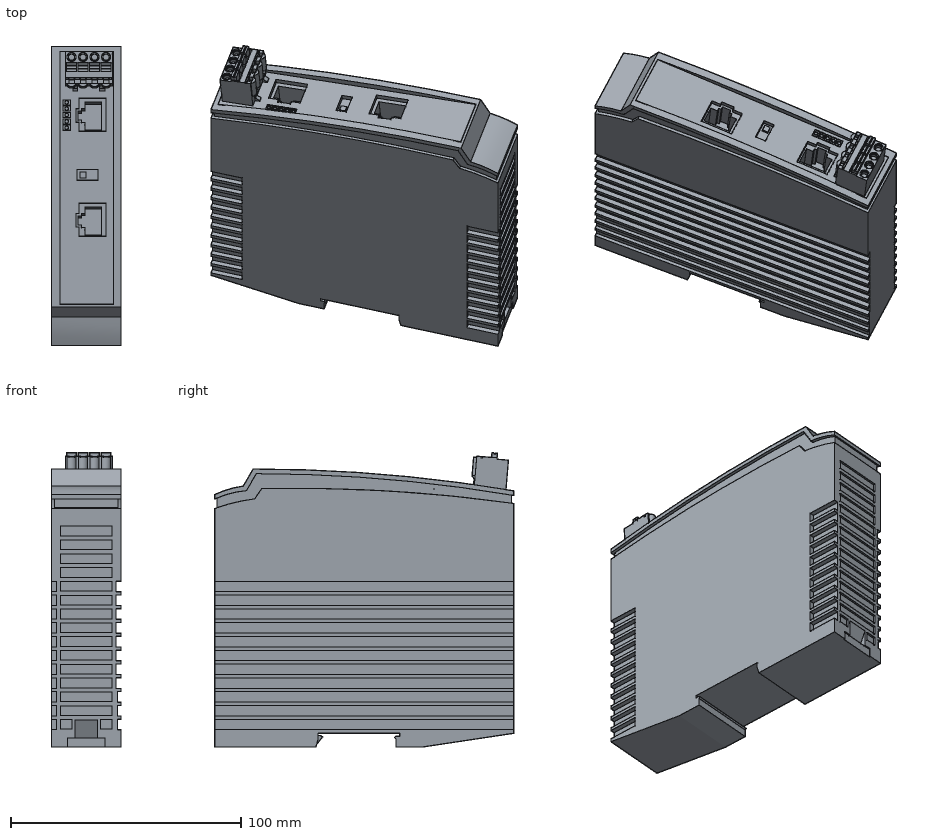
import cadquery as cq
import math

WIDTH = 30.2
DEPTH = 130.01
HEIGHT = 127.99
LEFT = -WIDTH / 2
RIGHT = WIDTH / 2
REAR = DEPTH / 2
FRONT = -DEPTH / 2

BODY_REAR_TOP = 105.9
BODY_MID = (52.4, 111.2)
BODY_RIDGE = (109.6, 112.3)
BODY_STEP_FOOT = (112.6, 107.9)
BODY_NOSE_MID = (122.6, 106.0)
BODY_FRONT_TOP = 103.7
FOOT_RISE = 6.0
FOOT_SLOPE_END = 39.8

RAIL_REAR = 51.3
RAIL_FRONT = 85.1
RAIL_UNDERCUT = 1.7
RAIL_UNDERCUT_Z = 4.8
RAIL_NOSE = 0.6
RAIL_FLARE = 0.9
RAIL_FLARE_Z = 3.4
LATCH_WIDTH = 16.5
LATCH_HEIGHT = 4.1
LATCH_RECESS = 0.5
HOOK_REACH = 2.1
HOOK_NOSE_Z = 4.5
HOOK_TOP_Z = 5.1
HOOK_FOOT_Z = 0.8
THUMB_WIDTH = 9.7
THUMB_TOP = 11.9
THUMB_DEPTH = 3.5

VENT_PITCH = 6.0
FRONT_VENT_COUNT = 15
FRONT_VENT_TOP = 96.0
FRONT_VENT_HEIGHT = 4.2
FRONT_VENT_WIDTH = 22.5
FRONT_VENT_DEPTH = 0.8
SHORT_VENT_WIDTH = 5.0
SIDE_VENT_COUNT = 11
SIDE_VENT_TOP = 72.1
SIDE_VENT_HEIGHT = 4.5
SIDE_VENT_DEPTH = 2.1
SHALLOW_VENT_COUNT = 3
SHALLOW_VENT_DEPTH = 1.5
SIDE_VENT_LENGTH = 14.1

CAP_REAR_TOP = 111.4
CAP_MID = (49.0, 117.9)
CAP_RIDGE = (113.3, 120.9)
CAP_STEP_FOOT = (117.6, 113.5)
CAP_NOSE_MID = (124.0, 112.1)
CAP_FRONT_TOP = 109.8
CAP_DROP = 2.05
CAP_STEP_SHIFT = 1.4
NECK_INSET_X = 1.4
NECK_INSET_Y = 1.0
NECK_BASE = 100.0

PANEL_X = (3.6, 27.0)
PANEL_REAR = (2.2, 111.5)
PANEL_FRONT = (112.1, 120.6)
PANEL_RUN = PANEL_FRONT[0] - PANEL_REAR[0]
PANEL_LENGTH = math.hypot(PANEL_RUN, PANEL_FRONT[1] - PANEL_REAR[1])
PANEL_SLOPE = math.degrees(math.asin((PANEL_FRONT[1] - PANEL_REAR[1]) / PANEL_LENGTH))
CUT_CLEARANCE = 5.0

JACK_STARTS = (20.4, 66.1)
JACK_LENGTH = 14.4
JACK_X = (12.0, 23.6)
JACK_FRAME_DEPTH = 2.0
JACK_DEPTH = 14.0
PORT_X = (14.5, 21.7)
PORT_INSET = 1.5
PORT_LENGTH = 12.2
KEYWAY_CENTRE = 7.45
KEYWAY_STEPS = ((13.0, 6.2), (11.6, 3.9))
TAB_NOTCH = (10.6, 5.9)

SWITCH_X = (11.0, 20.2)
SWITCH_START = 51.4
SWITCH_LENGTH = 4.7
SWITCH_DEPTH = 2.0
SLIDER_X = (12.4, 15.0)
SLIDER_LENGTH = 2.6
SLIDER_TOP = -1.0

LED_COUNT = 5
LED_PITCH = 2.77
LED_START = 22.2
LED_X = (5.0, 8.2)
LED_WINDOW_LENGTH = 2.2
LED_WINDOW_DEPTH = 0.4
LED_DIAMETER = 1.5

POLE_COUNT = 4
POLE_PITCH = 5.0
FIRST_POLE_X = 8.7
PLUG_X = (6.0, 26.5)
PLUG_REAR = 1.2
PLUG_FRONT = 15.1
PLUG_HEIGHT = 13.8
PLUG_REAR_HEIGHT = 13.2
PLUG_ROOT = -1.0
ENTRY_DISTANCE = 3.5
ENTRY_DIAMETER = 3.9
ENTRY_RIM_DEPTH = 0.8
ENTRY_BORE = 2.8
ENTRY_DEPTH = 2.5
LEVER_WIDTH = 4.2
LEVER_START = 6.2
LEVER_LENGTH = 2.5
LEVER_GROOVE = 0.5
LEVER_GAP = 1.2
LEVER_ROOT = 2.5
BARREL_RADIUS = 2.1
BARREL_REACH = 1.4
BARREL_BASE = 5.2
BARREL_TOP = 13.3
TEST_GROOVE_START = 12.5
TEST_GROOVE_LENGTH = 0.8
TEST_GROOVE_DEPTH = 0.6
TEST_GROOVE_WALL = 0.4
TEST_SLOT_WIDTH = 2.4
TEST_SLOT_LENGTH = 1.6
TEST_SLOT_DEPTH = 2.0
CLIP_SPANS = ((9.3, 11.2), (20.9, 23.2))
CLIP_KNOB_REACH = 1.4
CLIP_KNOB_Z = (3.9, 5.0, 6.2)
CLIP_STEM = 0.4
CLIP_FOOT_REACH = 2.2
CLIP_FOOT_TOP = 0.4
CLIP_FOOT_START = 1.6


def at(depth, z):
    """Point in the YZ plane at a given depth from the rear face."""
    return (REAR - depth, z)


def slab(outline, width=WIDTH):
    """Extrude a YZ outline symmetrically about the middle of the part."""
    return outline.extrude(width / 2, both=True)


def box(x_span, y_span, z_span):
    """Axis-aligned box between the given limits."""
    size = [span[1] - span[0] for span in (x_span, y_span, z_span)]
    corner = (x_span[0], y_span[0], z_span[0])
    return cq.Workplane("XY").box(*size, centered=False).translate(corner)


def panel_box(x_span, start, length, h_span):
    """Box in panel axes: x from the left side, distance from the rear, height."""
    return box(x_span, (-start - length, -start), h_span)


def upright_cylinder(x, distance, radius, h_span):
    """Cylinder in panel axes, standing square to the panel."""
    base = cq.Workplane("XY", origin=(x, -distance, h_span[0]))
    return base.circle(radius).extrude(h_span[1] - h_span[0])


def place_on_panel(shape):
    """Tilt a shape from panel axes and set it on the rear edge of the panel."""
    tilted = shape.rotate((0, 0, 0), (1, 0, 0), -PANEL_SLOPE)
    return tilted.translate((LEFT, REAR - PANEL_REAR[0], PANEL_REAR[1]))


def make_body():
    outline = (
        cq.Workplane("YZ")
        .moveTo(*at(0, FOOT_RISE))
        .lineTo(*at(0, BODY_REAR_TOP))
        .threePointArc(at(*BODY_MID), at(*BODY_RIDGE))
        .lineTo(*at(*BODY_STEP_FOOT))
        .threePointArc(at(*BODY_NOSE_MID), at(DEPTH, BODY_FRONT_TOP))
        .lineTo(*at(DEPTH, 0))
        .lineTo(*at(RAIL_FRONT + RAIL_FLARE, 0))
        .lineTo(*at(RAIL_FRONT, RAIL_FLARE_Z))
        .lineTo(*at(RAIL_FRONT, FOOT_RISE))
        .lineTo(*at(RAIL_REAR - RAIL_UNDERCUT, FOOT_RISE))
        .lineTo(*at(RAIL_REAR - RAIL_UNDERCUT, RAIL_UNDERCUT_Z))
        .lineTo(*at(RAIL_REAR, RAIL_UNDERCUT_Z))
        .lineTo(*at(RAIL_REAR + RAIL_NOSE, RAIL_UNDERCUT_Z - RAIL_NOSE))
        .lineTo(*at(RAIL_REAR, RAIL_UNDERCUT_Z - 2 * RAIL_NOSE))
        .lineTo(*at(RAIL_REAR, 0))
        .lineTo(*at(FOOT_SLOPE_END, 0))
        .close()
    )
    return slab(outline)


def make_cap():
    under_ridge = (CAP_RIDGE[0] - CAP_STEP_SHIFT, CAP_RIDGE[1] - CAP_DROP)
    under_step = (CAP_STEP_FOOT[0] - CAP_STEP_SHIFT, CAP_STEP_FOOT[1] - CAP_DROP)
    outline = (
        cq.Workplane("YZ")
        .moveTo(*at(0, CAP_REAR_TOP))
        .threePointArc(at(*CAP_MID), at(*CAP_RIDGE))
        .lineTo(*at(*CAP_STEP_FOOT))
        .threePointArc(at(*CAP_NOSE_MID), at(DEPTH, CAP_FRONT_TOP))
        .lineTo(*at(DEPTH, CAP_FRONT_TOP - CAP_DROP))
        .threePointArc(at(CAP_NOSE_MID[0], CAP_NOSE_MID[1] - CAP_DROP), at(*under_step))
        .lineTo(*at(*under_ridge))
        .threePointArc(at(CAP_MID[0], CAP_MID[1] - CAP_DROP), at(0, CAP_REAR_TOP - CAP_DROP))
        .close()
    )
    return slab(outline)


def make_neck():
    """Narrower core that joins the body to the cap."""
    outline = (
        cq.Workplane("YZ")
        .moveTo(*at(0, NECK_BASE))
        .lineTo(*at(0, CAP_REAR_TOP))
        .threePointArc(at(*CAP_MID), at(*CAP_RIDGE))
        .lineTo(*at(*CAP_STEP_FOOT))
        .threePointArc(at(*CAP_NOSE_MID), at(DEPTH, CAP_FRONT_TOP))
        .lineTo(*at(DEPTH, NECK_BASE))
        .close()
    )
    core = box(
        (LEFT + NECK_INSET_X, RIGHT - NECK_INSET_X),
        (FRONT + NECK_INSET_Y, REAR - NECK_INSET_Y),
        (NECK_BASE, HEIGHT),
    )
    return slab(outline).intersect(core)


def cut_front_vents(part):
    half = FRONT_VENT_WIDTH / 2
    y_span = (FRONT, FRONT + FRONT_VENT_DEPTH)
    for row in range(FRONT_VENT_COUNT):
        top = FRONT_VENT_TOP - row * VENT_PITCH
        z_span = (top - FRONT_VENT_HEIGHT, top)
        if row < FRONT_VENT_COUNT - 1:
            part = part.cut(box((-half, half), y_span, z_span))
        else:
            part = part.cut(box((-half, -half + SHORT_VENT_WIDTH), y_span, z_span))
            part = part.cut(box((half - SHORT_VENT_WIDTH, half), y_span, z_span))
    return part


def cut_side_vents(part):
    """Short grooves at both ends of the left side, full-length ones on the right."""
    left_x = (LEFT, LEFT + SIDE_VENT_DEPTH)
    for row in range(SIDE_VENT_COUNT):
        top = SIDE_VENT_TOP - row * VENT_PITCH
        z_span = (top - SIDE_VENT_HEIGHT, top)
        part = part.cut(box(left_x, (FRONT, FRONT + SIDE_VENT_LENGTH), z_span))
        part = part.cut(box(left_x, (REAR - SIDE_VENT_LENGTH, REAR), z_span))
        is_shallow = row >= SIDE_VENT_COUNT - SHALLOW_VENT_COUNT
        right_depth = SHALLOW_VENT_DEPTH if is_shallow else SIDE_VENT_DEPTH
        part = part.cut(box((RIGHT - right_depth, RIGHT), (FRONT, REAR), z_span))
    return part


def add_rail_latch(part):
    """Front of the sliding latch, its thumb pocket and the hook inside the rail slot."""
    half = LATCH_WIDTH / 2
    latch_face = box((-half, half), (FRONT, FRONT + LATCH_RECESS), (0, LATCH_HEIGHT))
    thumb_outline = (
        cq.Workplane("YZ")
        .moveTo(FRONT, THUMB_TOP)
        .lineTo(FRONT, LATCH_HEIGHT)
        .lineTo(FRONT + THUMB_DEPTH, LATCH_HEIGHT)
        .close()
    )
    hook_outline = (
        cq.Workplane("YZ")
        .moveTo(*at(RAIL_FRONT + RAIL_FLARE, HOOK_FOOT_Z))
        .lineTo(*at(RAIL_FRONT - HOOK_REACH, HOOK_NOSE_Z))
        .lineTo(*at(RAIL_FRONT - HOOK_REACH / 2, HOOK_TOP_Z))
        .lineTo(*at(RAIL_FRONT + RAIL_FLARE, HOOK_TOP_Z))
        .close()
    )
    part = part.cut(latch_face).cut(slab(thumb_outline, THUMB_WIDTH))
    return part.union(slab(hook_outline, LATCH_WIDTH))


def cut_jack(part, start):
    """Network jack: shallow frame, deep port and a stepped keyway for the plug clip."""
    middle = start + KEYWAY_CENTRE
    frame_h = (-JACK_FRAME_DEPTH, CUT_CLEARANCE)
    port_h = (-JACK_DEPTH, CUT_CLEARANCE)
    cutter = panel_box(JACK_X, start, JACK_LENGTH, frame_h)
    notch_x, notch_length = TAB_NOTCH
    notch = panel_box((notch_x, JACK_X[0]), middle - notch_length / 2, notch_length, frame_h)
    cutter = cutter.union(notch)
    cutter = cutter.union(panel_box(PORT_X, start + PORT_INSET, PORT_LENGTH, port_h))
    for step_x, length in KEYWAY_STEPS:
        step = panel_box((step_x, PORT_X[0]), middle - length / 2, length, port_h)
        cutter = cutter.union(step)
    return part.cut(place_on_panel(cutter))


def cut_switch(part):
    pocket = panel_box(SWITCH_X, SWITCH_START, SWITCH_LENGTH, (-SWITCH_DEPTH, CUT_CLEARANCE))
    slider_start = SWITCH_START + (SWITCH_LENGTH - SLIDER_LENGTH) / 2
    slider = panel_box(SLIDER_X, slider_start, SLIDER_LENGTH, (-SWITCH_DEPTH, SLIDER_TOP))
    return part.cut(place_on_panel(pocket.cut(slider)))


def cut_led_windows(part):
    """Row of shallow windows, each with a round light in the middle."""
    middle_x = sum(LED_X) / 2
    for index in range(LED_COUNT):
        middle = LED_START + index * LED_PITCH
        start = middle - LED_WINDOW_LENGTH / 2
        window = panel_box(LED_X, start, LED_WINDOW_LENGTH, (-LED_WINDOW_DEPTH, 0))
        light = upright_cylinder(middle_x, middle, LED_DIAMETER / 2, (-LED_WINDOW_DEPTH, 0))
        part = part.cut(place_on_panel(window.cut(light)))
    return part


def add_pole(plug, x, lever_top):
    """Wire entry, lever, front barrel and test slot of one connector pole."""
    rim = upright_cylinder(x, ENTRY_DISTANCE, ENTRY_DIAMETER / 2,
                           (PLUG_REAR_HEIGHT - ENTRY_RIM_DEPTH, PLUG_HEIGHT))
    bore = upright_cylinder(x, ENTRY_DISTANCE, ENTRY_BORE / 2,
                            (PLUG_REAR_HEIGHT - ENTRY_DEPTH, PLUG_HEIGHT))
    lever_x = (x - LEVER_WIDTH / 2, x + LEVER_WIDTH / 2)
    root = PLUG_HEIGHT - LEVER_ROOT
    lever = panel_box(lever_x, LEVER_START, LEVER_LENGTH, (root, lever_top))
    groove_start = LEVER_START + (LEVER_LENGTH - LEVER_GROOVE) / 2
    groove = panel_box(lever_x, groove_start, LEVER_GROOVE, (lever_top - LEVER_GROOVE, lever_top))
    gap = panel_box(lever_x, LEVER_START + LEVER_LENGTH, LEVER_GAP, (root, PLUG_HEIGHT))
    barrel_centre = PLUG_FRONT + BARREL_REACH - BARREL_RADIUS
    barrel = upright_cylinder(x, barrel_centre, BARREL_RADIUS, (BARREL_BASE, BARREL_TOP))
    slot = panel_box(
        (x - TEST_SLOT_WIDTH / 2, x + TEST_SLOT_WIDTH / 2),
        PLUG_FRONT - TEST_SLOT_LENGTH,
        TEST_SLOT_LENGTH,
        (PLUG_HEIGHT - TEST_SLOT_DEPTH, PLUG_HEIGHT),
    )
    plug = plug.union(lever.cut(groove)).union(barrel)
    return plug.cut(rim).cut(bore).cut(gap).cut(slot)


def make_clip(x_span):
    """Connector clip: a knob on a thin stem that flares out at the foot."""
    knob_bottom, knob_peak, knob_top = CLIP_KNOB_Z
    outline = (
        cq.Workplane("YZ", origin=(x_span[0], 0, 0))
        .moveTo(-PLUG_FRONT, PLUG_ROOT)
        .lineTo(-PLUG_FRONT, knob_top)
        .lineTo(-PLUG_FRONT - CLIP_KNOB_REACH, knob_peak)
        .lineTo(-PLUG_FRONT - CLIP_STEM, knob_bottom)
        .lineTo(-PLUG_FRONT - CLIP_STEM, CLIP_FOOT_START)
        .lineTo(-PLUG_FRONT - CLIP_FOOT_REACH, CLIP_FOOT_TOP)
        .lineTo(-PLUG_FRONT - CLIP_FOOT_REACH, PLUG_ROOT)
        .close()
    )
    return outline.extrude(x_span[1] - x_span[0])


def make_connector():
    plug = panel_box(PLUG_X, PLUG_REAR, PLUG_FRONT - PLUG_REAR, (PLUG_ROOT, PLUG_HEIGHT))
    step_length = LEVER_START - PLUG_REAR
    rear_step = panel_box(PLUG_X, PLUG_REAR, step_length, (PLUG_REAR_HEIGHT, PLUG_HEIGHT))
    groove = panel_box(
        (PLUG_X[0] + TEST_GROOVE_WALL, PLUG_X[1] - TEST_GROOVE_WALL),
        TEST_GROOVE_START,
        TEST_GROOVE_LENGTH,
        (PLUG_HEIGHT - TEST_GROOVE_DEPTH, PLUG_HEIGHT),
    )
    plug = plug.cut(rear_step).cut(groove)
    slope = math.radians(PANEL_SLOPE)
    lever_front = LEVER_START + LEVER_LENGTH
    lever_top = (HEIGHT - PANEL_REAR[1] - lever_front * math.sin(slope)) / math.cos(slope)
    for index in range(POLE_COUNT):
        plug = add_pole(plug, FIRST_POLE_X + index * POLE_PITCH, lever_top)
    for x_span in CLIP_SPANS:
        plug = plug.union(make_clip(x_span))
    return place_on_panel(plug)


housing = make_body().union(make_neck()).union(make_cap())
housing = cut_front_vents(housing)
housing = cut_side_vents(housing)
housing = add_rail_latch(housing)
housing = housing.cut(place_on_panel(panel_box(PANEL_X, 0, PANEL_LENGTH, (0, CUT_CLEARANCE))))
for jack_start in JACK_STARTS:
    housing = cut_jack(housing, jack_start)
housing = cut_switch(housing)
housing = cut_led_windows(housing)
result = housing.union(make_connector())